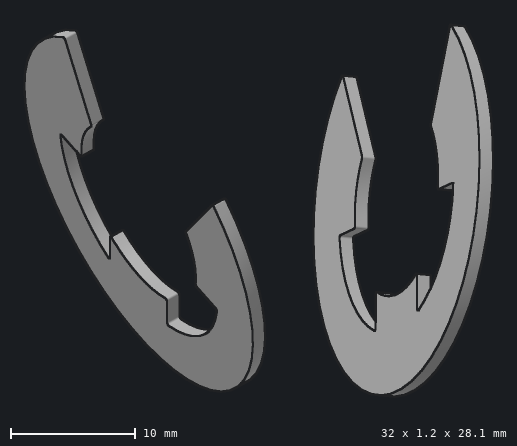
import cadquery as cq
import math

thickness = 1.2
outer_radius = 16.0
bore_radius = 8.0
recess_radius = 11.0
side_lug_base = -1.0
bottom_lug_width = 8.0
mouth_lip_half_width = 6.55
mouth_tip_half_width = 10.37
corner_radius = 0.2


def disc(radius):
    """Disc of the ring's thickness, centred on the Y axis."""
    return cq.Workplane("XZ").circle(radius).extrude(thickness / 2, both=True)


def height_on_circle(radius, half_width):
    """Z of the upper point of a circle at the given distance from its centreline."""
    return math.sqrt(radius**2 - half_width**2)


def relief():
    """Lower part of the recess disc, interrupted by the bottom lug."""
    span = 2 * outer_radius
    below_side_lugs = cq.Workplane("XY").box(span, thickness, span).translate(
        (0, 0, side_lug_base - span / 2)
    )
    bottom_lug = cq.Workplane("XY").box(bottom_lug_width, thickness, span)
    return disc(recess_radius).intersect(below_side_lugs).cut(bottom_lug)


def mouth():
    """Flared opening, its sides running straight from the bore to beyond the outer circle."""
    lip_z = height_on_circle(bore_radius, mouth_lip_half_width)
    tip_z = height_on_circle(outer_radius, mouth_tip_half_width)
    flare = (mouth_tip_half_width - mouth_lip_half_width) / (tip_z - lip_z)
    top_z = outer_radius
    top_half_width = mouth_lip_half_width + flare * (top_z - lip_z)
    bottom_z = 0
    bottom_half_width = mouth_lip_half_width - flare * (lip_z - bottom_z)
    return (
        cq.Workplane("XZ")
        .moveTo(-bottom_half_width, bottom_z)
        .lineTo(bottom_half_width, bottom_z)
        .lineTo(top_half_width, top_z)
        .lineTo(-top_half_width, top_z)
        .close()
        .extrude(thickness / 2, both=True)
    )


ring = disc(outer_radius).cut(disc(bore_radius)).cut(relief()).cut(mouth()).clean()
result = ring.edges("|Y").fillet(corner_radius)